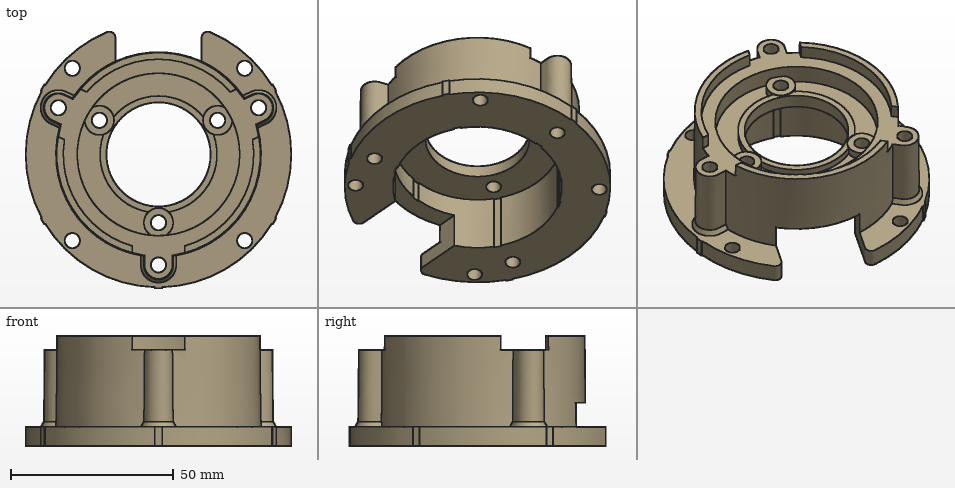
import cadquery as cq
import math

FLANGE_RADIUS = 40.9
FLANGE_THICKNESS = 5.9
FLANGE_HOLE_RADIUS = 37.5
FLANGE_HOLE_ANGLES = (45, 135, 225, 315)
SCREW_DIAMETER = 4.6

KEY_ANGLES = (30, 90, 150, 210, 270, 330)
KEY_WIDTH = 2.2
KEY_HEIGHT = 0.3
KEY_EMBED = 1.0

TOTAL_HEIGHT = 33.9
RIM_TOP_RADIUS = 31.35
DRAFT_ANGLE = 0.5
DRAFT_SLOPE = math.tan(math.radians(DRAFT_ANGLE))
RIM_HEIGHT = 4.3
SHOULDER_Z = TOTAL_HEIGHT - RIM_HEIGHT
RIM_INNER_RADIUS = 29.3

RECESS_RADIUS = 25.0
FLOOR_TOP_Z = 23.4
FLOOR_BOTTOM_Z = 21.1
BORE_RADIUS = 16.0
COLLAR_RADIUS = 18.0
COLLAR_TOP_Z = 25.7
CAVITY_RADIUS = 26.0

FLOOR_BOSS_TOP_Z = 25.9
FLOOR_BOSS_RADIUS = 4.5
FLOOR_BOSS_ORBIT = 21.0
FLOOR_BOSS_ANGLES = (30, 150, 270)

COLUMN_ANGLES = (25, 155, 270)
COLUMN_ORBIT = 34.0
COLUMN_TOP_RADIUS = 4.3
COLUMN_ROOT = 27.0
COLUMN_HEIGHT = SHOULDER_Z - FLANGE_THICKNESS
COLUMN_BASE_RADIUS = COLUMN_TOP_RADIUS + COLUMN_HEIGHT * DRAFT_SLOPE
FLARE_WIDTH = 0.95
FLARE_HEIGHT = 1.6
RIM_NOTCH_WIDTH = 16.2

SLOT_WIDTH = 26.4
SLOT_TOP_Z = 13.3
SLOT_LENGTH = 50.0
EAR_RADIUS = 2.0


def cylinder(radius, bottom, top):
    return cq.Workplane("XY").workplane(offset=bottom).circle(radius).extrude(top - bottom)


def polar_cylinders(radius, orbit, angles, bottom, top):
    """Upright cylinders standing on a circle at the given angles."""
    points = [
        (orbit * math.cos(math.radians(angle)), orbit * math.sin(math.radians(angle)))
        for angle in angles
    ]
    base = cq.Workplane("XY").workplane(offset=bottom).pushPoints(points)
    return base.circle(radius).extrude(top - bottom)


def radial_bar(angle, width, inner, outer, bottom, top):
    """Box lying along a radius, rotated to the given angle."""
    bar = cq.Workplane("XY").box(outer - inner, width, top - bottom, centered=(False, True, False))
    return bar.translate((inner, 0, bottom)).rotate((0, 0, 0), (0, 0, 1), angle)


def key_ring(radius, bottom, top):
    """Shallow keys that stand proud of a cylinder of the given radius."""
    keys = cq.Workplane("XY")
    for angle in KEY_ANGLES:
        key = radial_bar(angle, KEY_WIDTH, radius - KEY_EMBED, radius + KEY_HEIGHT, bottom, top)
        keys = keys.add(key)
    return keys.combine()


def make_flange():
    """Keyed flange with a slot between two rounded ears."""
    flange = cylinder(FLANGE_RADIUS, 0, FLANGE_THICKNESS)
    flange = flange.union(key_ring(FLANGE_RADIUS, 0, FLANGE_THICKNESS))
    slot = radial_bar(90, SLOT_WIDTH, 0, SLOT_LENGTH, 0, FLANGE_THICKNESS)
    flange = flange.cut(slot)
    ear_y = math.sqrt(FLANGE_RADIUS**2 - (SLOT_WIDTH / 2) ** 2)
    for side in (-1, 1):
        corner_point = (side * SLOT_WIDTH / 2, ear_y, FLANGE_THICKNESS / 2)
        corner = cq.selectors.NearestToPointSelector(corner_point)
        flange = flange.edges("|Z").edges(corner).fillet(EAR_RADIUS)
    return flange


def make_wall():
    """Drafted wall, opened near its base by the cable slot."""
    base_radius = RIM_TOP_RADIUS + TOTAL_HEIGHT * DRAFT_SLOPE
    wall = cq.Workplane("XY").circle(base_radius).extrude(TOTAL_HEIGHT, taper=DRAFT_ANGLE)
    return wall.cut(radial_bar(90, SLOT_WIDTH, 0, SLOT_LENGTH, 0, SLOT_TOP_Z))


def column_outline(radius):
    """Tongue with a round end, running outwards from the wall along +X."""
    return (
        cq.Workplane("XY")
        .workplane(offset=FLANGE_THICKNESS)
        .moveTo(COLUMN_ROOT, -radius)
        .lineTo(COLUMN_ORBIT, -radius)
        .threePointArc((COLUMN_ORBIT + radius, 0), (COLUMN_ORBIT, radius))
        .lineTo(COLUMN_ROOT, radius)
        .close()
    )


def make_column(angle):
    """Drafted screw column with a flared foot on the flange."""
    flare_angle = math.degrees(math.atan(FLARE_WIDTH / FLARE_HEIGHT))
    column = column_outline(COLUMN_BASE_RADIUS).extrude(COLUMN_HEIGHT, taper=DRAFT_ANGLE)
    foot = column_outline(COLUMN_BASE_RADIUS + FLARE_WIDTH).extrude(FLARE_HEIGHT, taper=flare_angle)
    return column.union(foot).rotate((0, 0, 0), (0, 0, 1), angle)


def hollow_interior(body):
    """Cut the stepped interior, leaving the floor, its collar and its bosses."""
    body = body.cut(cylinder(CAVITY_RADIUS, 0, FLOOR_BOTTOM_Z))
    body = body.cut(key_ring(CAVITY_RADIUS, 0, FLOOR_BOTTOM_Z))
    body = body.cut(cylinder(RIM_INNER_RADIUS, SHOULDER_Z, TOTAL_HEIGHT))
    collar = cylinder(COLLAR_RADIUS, FLOOR_TOP_Z, COLLAR_TOP_Z)
    bosses = polar_cylinders(
        FLOOR_BOSS_RADIUS, FLOOR_BOSS_ORBIT, FLOOR_BOSS_ANGLES, FLOOR_TOP_Z, FLOOR_BOSS_TOP_Z
    )
    recess = cylinder(RECESS_RADIUS, FLOOR_TOP_Z, SHOULDER_Z).cut(collar).cut(bosses)
    body = body.cut(recess)
    return body.cut(cylinder(BORE_RADIUS, 0, TOTAL_HEIGHT))


def cut_rim_notches(body):
    for angle in COLUMN_ANGLES:
        notch = radial_bar(
            angle, RIM_NOTCH_WIDTH, RECESS_RADIUS, FLANGE_RADIUS, SHOULDER_Z, TOTAL_HEIGHT
        )
        body = body.cut(notch)
    return body


def drill_screw_holes(body):
    patterns = (
        (FLANGE_HOLE_RADIUS, FLANGE_HOLE_ANGLES),
        (COLUMN_ORBIT, COLUMN_ANGLES),
        (FLOOR_BOSS_ORBIT, FLOOR_BOSS_ANGLES),
    )
    for orbit, angles in patterns:
        body = body.cut(polar_cylinders(SCREW_DIAMETER / 2, orbit, angles, 0, TOTAL_HEIGHT))
    return body


housing = make_flange().union(make_wall())
for column_angle in COLUMN_ANGLES:
    housing = housing.union(make_column(column_angle))
housing = hollow_interior(housing)
housing = cut_rim_notches(housing)
result = drill_screw_holes(housing)